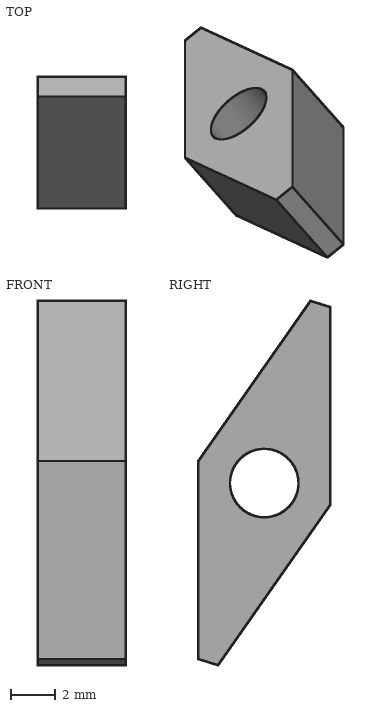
import math
import cadquery as cq

thickness = 4.0
width = 6.0
height = 16.56
acute_angle = 35.0
tip_run = 0.9
hole_diameter = 3.1

tip_drop = tip_run * math.tan(math.radians(acute_angle / 2))

half_width = width / 2
half_height = height / 2
peak_y = half_width - tip_run
flank_top_z = half_height - tip_drop
slope_drop = (width - tip_run) / math.tan(math.radians(acute_angle))
obtuse_corner_z = half_height - slope_drop


def make_plate():
    """Six-sided plate, unchanged by a half turn about X, centred on the origin."""
    upper_half = [
        (half_width, flank_top_z),
        (peak_y, half_height),
        (-half_width, obtuse_corner_z),
    ]
    lower_half = [(-y, -z) for y, z in upper_half]
    outline = cq.Workplane("YZ").polyline(upper_half + lower_half).close()
    return outline.extrude(thickness / 2, both=True)


def make_hole():
    """Through hole along X at the centre of the plate."""
    return cq.Workplane("YZ").circle(hole_diameter / 2).extrude(thickness / 2, both=True)


result = make_plate().cut(make_hole())